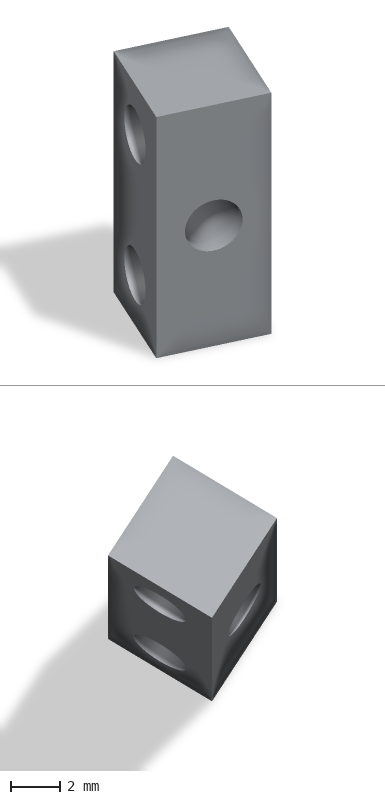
import cadquery as cq

height = 12.0
width = 5.0
hole_diameter = width / 2
end_hole_spacing = 7.0


def through_holes(plane, points):
    """Cylinders crossing the whole bar along the normal of the plane."""
    return (
        cq.Workplane(plane)
        .pushPoints(points)
        .circle(hole_diameter / 2)
        .extrude(width, both=True)
    )


bar = cq.Workplane("XY").box(width, width, height)

end_holes = through_holes("XZ", [(0, end_hole_spacing / 2), (0, -end_hole_spacing / 2)])

middle_hole = through_holes("YZ", [(0, 0)])

result = bar.cut(end_holes).cut(middle_hole)